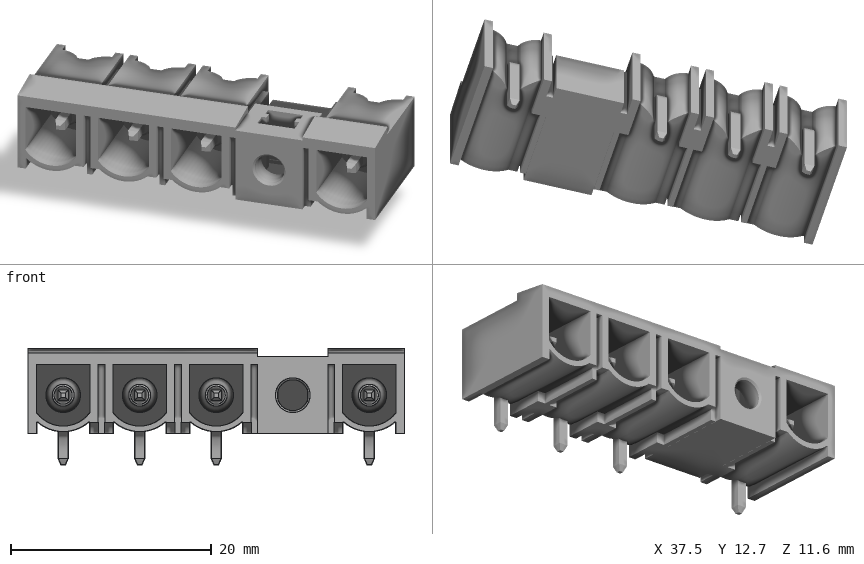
import cadquery as cq
import math

LENGTH = 37.48
DEPTH = 12.65
BODY_TOP = 7.7

POLE_SPAN = 30.47
CONTACT_POLES = (0, 1, 2, 4)
PITCH = POLE_SPAN / CONTACT_POLES[-1]
FIRST_POLE_X = (LENGTH - POLE_SPAN) / 2
BLOCK_POLE = 3
BLOCK_X = FIRST_POLE_X + BLOCK_POLE * PITCH

RIDGE_TOP = 8.47
RIDGE_FRONT_TOP = 8.02
RIDGE_FLAT_START = 3.8
RIDGE_BACK = 4.0

CELL_HALF_WIDTH = 3.45
END_HALF_WIDTH = FIRST_POLE_X
CAVITY_HALF_WIDTH = 2.65
CAVITY_TOP = 6.85
CAVITY_DEPTH = 8.25
BARREL_CENTER_Z = 4.05
CAVITY_RADIUS = 3.3
BARREL_RADIUS = 3.85
CELL_BOTTOM = 1.12

WEB_TOP = CAVITY_TOP
WEB_FRONT = 0.8
WEB_BACK = 10.72
WEB_OFFSET = 3.52

CONTACT_Z = 3.82
PIN_WIDTH = 1.0
PIN_FRONT = 2.4
PIN_BACK = 11.35
PIN_BOTTOM = -3.1
PIN_POINT_LENGTH = 0.65
PIN_POINT_WIDTH = 0.45
BEND_INNER_RADIUS = 0.37

BOSS_BASE_RADIUS = 1.72
BOSS_TIP_RADIUS = 1.1
BOSS_LENGTH = 3.0
BOSS_CHAMFER = 0.2
BOSS_CHAMFER_LENGTH = 0.07

RELIEF_HALF_WIDTH = 2.62
RELIEF_SHOULDER_Y = 11.65
RELIEF_FLOOR_Y = PIN_BACK - PIN_WIDTH
RELIEF_FLOOR_HALF_WIDTH = 0.55
RELIEF_NECK_HALF_WIDTH = 0.82
RELIEF_NECK_Y = 10.75
FLARE_MIDDLE_X = 1.72
FLARE_MIDDLE_Y = 11.45

BLOCK_HALF_WIDTH = END_HALF_WIDTH
BLOCK_DEPTH = 11.95
BLOCK_STEP_Y = 6.3
BLOCK_STEP_Z = 5.4
SCREW_RADIUS = 1.55
SCREW_CHAMFER = 0.2
NUT_FRONT = 2.25
NUT_BACK = 3.7
NUT_HALF_WIDTH = 1.95
NECK_BACK = 4.5
NECK_HALF_WIDTH = 1.45
LEDGE_BACK = 5.17
LEDGE_TOP = 2.25
POCKET_BACK = 5.32
POCKET_BACK_HALF_WIDTH = 1.85
POCKET_FLOOR = CONTACT_Z - NUT_HALF_WIDTH


def box(x0, x1, y0, y1, z0, z1):
    """Axis-aligned block between the given limits."""
    return cq.Workplane("XY").box(x1 - x0, y1 - y0, z1 - z0, centered=False).translate((x0, y0, z0))


def pole_x(pole):
    return FIRST_POLE_X + pole * PITCH


def arch_outline(half_width, radius, top):
    """Outline with straight sides and top, and an arc for its bottom, about the pole axis."""
    arc_end_z = BARREL_CENTER_Z - math.sqrt(radius**2 - half_width**2)
    return (
        cq.Workplane("XZ")
        .moveTo(-half_width, top)
        .lineTo(-half_width, arc_end_z)
        .threePointArc((0, BARREL_CENTER_Z - radius), (half_width, arc_end_z))
        .lineTo(half_width, top)
        .close()
    )


def make_cell(pole):
    """Hollow cell: upper block, rounded barrel below it and legs standing beside the barrel."""
    left = -CELL_HALF_WIDTH
    right = CELL_HALF_WIDTH
    left_leg_front = CAVITY_DEPTH
    right_leg_front = CAVITY_DEPTH
    if pole == CONTACT_POLES[0]:
        left = -END_HALF_WIDTH
        left_leg_front = 0
    if pole == CONTACT_POLES[-1]:
        right = END_HALF_WIDTH
        right_leg_front = 0
    cell = box(left, right, 0, DEPTH, CELL_BOTTOM, BODY_TOP)
    barrel = arch_outline(RELIEF_HALF_WIDTH, BARREL_RADIUS, CAVITY_TOP).extrude(-DEPTH)
    left_leg = box(left, -RELIEF_HALF_WIDTH, left_leg_front, DEPTH, 0, CELL_BOTTOM)
    right_leg = box(RELIEF_HALF_WIDTH, right, right_leg_front, DEPTH, 0, CELL_BOTTOM)
    cavity = arch_outline(CAVITY_HALF_WIDTH, CAVITY_RADIUS, CAVITY_TOP).extrude(-CAVITY_DEPTH)
    cell = cell.union(barrel).union(left_leg).union(right_leg)
    cell = cell.cut(cavity).union(make_boss()).cut(make_relief())
    return cell.translate((pole_x(pole), 0, 0))


def make_boss():
    """Tapered boss on the cavity floor, chamfered at its tip."""
    tip_y = CAVITY_DEPTH - BOSS_LENGTH
    return (
        cq.Workplane("XY")
        .moveTo(0, tip_y)
        .lineTo(BOSS_TIP_RADIUS - BOSS_CHAMFER, tip_y)
        .lineTo(BOSS_TIP_RADIUS, tip_y + BOSS_CHAMFER_LENGTH)
        .lineTo(BOSS_BASE_RADIUS, CAVITY_DEPTH)
        .lineTo(0, CAVITY_DEPTH)
        .close()
        .revolve(360, (0, 0), (0, 1))
        .translate((0, 0, CONTACT_Z))
    )


def make_relief():
    """Cutter for the flared recess that clears the pin at the back of a cell."""
    return (
        cq.Workplane("XY")
        .moveTo(-RELIEF_HALF_WIDTH, DEPTH)
        .lineTo(-RELIEF_HALF_WIDTH, RELIEF_SHOULDER_Y)
        .threePointArc((-FLARE_MIDDLE_X, FLARE_MIDDLE_Y), (-RELIEF_NECK_HALF_WIDTH, RELIEF_NECK_Y))
        .lineTo(-RELIEF_FLOOR_HALF_WIDTH, RELIEF_FLOOR_Y)
        .lineTo(RELIEF_FLOOR_HALF_WIDTH, RELIEF_FLOOR_Y)
        .lineTo(RELIEF_NECK_HALF_WIDTH, RELIEF_NECK_Y)
        .threePointArc((FLARE_MIDDLE_X, FLARE_MIDDLE_Y), (RELIEF_HALF_WIDTH, RELIEF_SHOULDER_Y))
        .lineTo(RELIEF_HALF_WIDTH, DEPTH)
        .close()
        .extrude(BODY_TOP)
    )


def make_web(pole):
    """Web filling the gap between a pole and the next one."""
    left = pole_x(pole)
    right = pole_x(pole + 1)
    lower = box(left + WEB_OFFSET, right - WEB_OFFSET, WEB_FRONT, WEB_BACK, 0, CELL_BOTTOM)
    upper = box(
        left + CELL_HALF_WIDTH, right - CELL_HALF_WIDTH, WEB_FRONT, WEB_BACK, CELL_BOTTOM, WEB_TOP
    )
    left_leg = box(left + CELL_HALF_WIDTH, left + WEB_OFFSET, CAVITY_DEPTH, WEB_BACK, 0, CELL_BOTTOM)
    right_leg = box(right - WEB_OFFSET, right - CELL_HALF_WIDTH, CAVITY_DEPTH, WEB_BACK, 0, CELL_BOTTOM)
    return lower.union(upper).union(left_leg).union(right_leg)


def make_ridge():
    """Sloping ridge along the full length, reaching down to the roof of the cavities."""
    return (
        cq.Workplane("YZ")
        .moveTo(0, CAVITY_TOP)
        .lineTo(0, RIDGE_FRONT_TOP)
        .lineTo(RIDGE_FLAT_START, RIDGE_TOP)
        .lineTo(RIDGE_BACK, RIDGE_TOP)
        .lineTo(RIDGE_BACK, CAVITY_TOP)
        .close()
        .extrude(LENGTH)
    )


def make_block():
    """Screw block, stepped down at the back."""
    return (
        cq.Workplane("YZ")
        .moveTo(0, 0)
        .lineTo(0, BODY_TOP)
        .lineTo(BLOCK_STEP_Y, BODY_TOP)
        .lineTo(BLOCK_STEP_Y, BLOCK_STEP_Z)
        .lineTo(BLOCK_DEPTH, BLOCK_STEP_Z)
        .lineTo(BLOCK_DEPTH, 0)
        .close()
        .extrude(2 * BLOCK_HALF_WIDTH)
        .translate((BLOCK_X - BLOCK_HALF_WIDTH, 0, 0))
    )


def make_screw_hole():
    """Cutter for the chamfered screw hole from the front face into the nut pocket."""
    return (
        cq.Workplane("XY")
        .moveTo(0, 0)
        .lineTo(SCREW_RADIUS + SCREW_CHAMFER, 0)
        .lineTo(SCREW_RADIUS, SCREW_CHAMFER)
        .lineTo(SCREW_RADIUS, NUT_FRONT)
        .lineTo(0, NUT_FRONT)
        .close()
        .revolve(360, (0, 0), (0, 1))
        .translate((BLOCK_X, 0, CONTACT_Z))
    )


def make_nut_pocket():
    """Cutter for the pocket open at the top: wide nut slot, narrow neck, rear slot with a ledge."""
    steps = (
        (NUT_HALF_WIDTH, NUT_FRONT, NUT_BACK, POCKET_FLOOR),
        (NECK_HALF_WIDTH, NUT_BACK, NECK_BACK, POCKET_FLOOR),
        (POCKET_BACK_HALF_WIDTH, NECK_BACK, LEDGE_BACK, POCKET_FLOOR),
        (POCKET_BACK_HALF_WIDTH, LEDGE_BACK, POCKET_BACK, LEDGE_TOP),
    )
    pocket = cq.Workplane("XY")
    for half_width, front, back, floor in steps:
        step = box(BLOCK_X - half_width, BLOCK_X + half_width, front, back, floor, BODY_TOP)
        pocket = pocket.union(step)
    return pocket


def make_point(base):
    """Blunt pyramid that points a pin, standing on the given workplane."""
    return (
        base.rect(PIN_WIDTH, PIN_WIDTH)
        .workplane(offset=PIN_POINT_LENGTH)
        .rect(PIN_POINT_WIDTH, PIN_POINT_WIDTH)
        .loft(ruled=True)
    )


def make_pin(pole):
    """Square pin: horizontal contact, rounded bend and vertical solder tail, both ends pointed."""
    top = CONTACT_Z + PIN_WIDTH / 2
    under = CONTACT_Z - PIN_WIDTH / 2
    tail_front = PIN_BACK - PIN_WIDTH
    contact_start = PIN_FRONT + PIN_POINT_LENGTH
    tail_end = PIN_BOTTOM + PIN_POINT_LENGTH
    outer_radius = BEND_INNER_RADIUS + PIN_WIDTH
    bend_y = tail_front - BEND_INNER_RADIUS
    bend_z = under - BEND_INNER_RADIUS
    diagonal = math.sqrt(0.5)
    shank = (
        cq.Workplane("YZ")
        .moveTo(contact_start, top)
        .lineTo(bend_y, top)
        .threePointArc(
            (bend_y + outer_radius * diagonal, bend_z + outer_radius * diagonal), (PIN_BACK, bend_z)
        )
        .lineTo(PIN_BACK, tail_end)
        .lineTo(tail_front, tail_end)
        .lineTo(tail_front, bend_z)
        .threePointArc(
            (bend_y + BEND_INNER_RADIUS * diagonal, bend_z + BEND_INNER_RADIUS * diagonal),
            (bend_y, under),
        )
        .lineTo(contact_start, under)
        .close()
        .extrude(PIN_WIDTH)
        .translate((-PIN_WIDTH / 2, 0, 0))
    )
    contact_point = make_point(cq.Workplane("XZ", origin=(0, contact_start, CONTACT_Z)))
    tail_plane = cq.Plane(origin=(0, PIN_BACK - PIN_WIDTH / 2, tail_end), xDir=(1, 0, 0), normal=(0, 0, -1))
    tail_point = make_point(cq.Workplane(tail_plane))
    return shank.union(contact_point).union(tail_point).translate((pole_x(pole), 0, 0))


def make_housing(pins):
    """One-piece housing with a matching passage for each pin."""
    housing = make_ridge()
    for pole in CONTACT_POLES:
        housing = housing.union(make_cell(pole))
    for pole in range(CONTACT_POLES[-1]):
        housing = housing.union(make_web(pole))
    block_space = box(
        BLOCK_X - BLOCK_HALF_WIDTH, BLOCK_X + BLOCK_HALF_WIDTH, 0, DEPTH, 0, RIDGE_TOP
    )
    housing = housing.cut(block_space).union(make_block())
    housing = housing.cut(make_nut_pocket()).cut(make_screw_hole())
    for pin in pins:
        housing = housing.cut(pin)
    return housing


pins = [make_pin(pole) for pole in CONTACT_POLES]
housing = make_housing(pins)
result = cq.Compound.makeCompound([housing.solids().val()] + [pin.solids().val() for pin in pins])